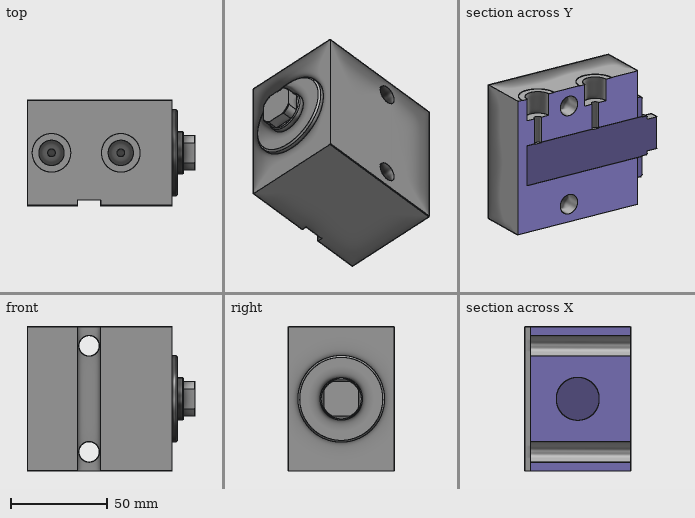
import cadquery as cq

total_length = 87.0

block_length = 75.0
block_depth = 55.0
block_height = block_length
edge_chamfer = 0.35

keyway_x = 32.0
keyway_width = 11.8
keyway_depth = 3.0
mount_hole_diameter = 10.5
mount_hole_spacing = 55.0

port_x_positions = (12.5, 48.5)
port_diameter = 13.1
port_depth = 12.2
spotface_diameter = 20.0
spotface_depth = 0.2
oil_hole_diameter = 4.0

gland_diameter = 45.0
gland_thickness = 3.0
gland_chamfer = 1.0

rod_diameter = 22.0
rod_chamfer = 0.6
rod_shoulder_reach = 6.1
tip_diameter = rod_diameter - 2 * rod_chamfer
tip_chamfer = 0.35
tip_across_flats = 18.0
rod_inner_x = port_x_positions[0] - port_diameter / 2
rod_shoulder_x = block_length + rod_shoulder_reach


def x_cylinder(diameter, start_x, end_x):
    """Solid cylinder on the rod axis, between two X positions."""
    return (
        cq.Workplane("XZ")
        .moveTo(start_x, 0)
        .lineTo(start_x, diameter / 2)
        .lineTo(end_x, diameter / 2)
        .lineTo(end_x, 0)
        .close()
        .revolve(360, (0, 0, 0), (1, 0, 0))
    )


def vertical_cylinder(x, diameter, bottom_z, top_z):
    """Upright cylinder on the plane Y = 0."""
    return cq.Workplane("XY", origin=(x, 0, bottom_z)).circle(diameter / 2).extrude(top_z - bottom_z)


def port_cutter(x):
    """Spotface, port bore and small oil hole down to the rod axis."""
    top_z = block_height / 2
    spotface = vertical_cylinder(x, spotface_diameter, top_z - spotface_depth, top_z)
    port = vertical_cylinder(x, port_diameter, top_z - port_depth, top_z)
    oil_hole = vertical_cylinder(x, oil_hole_diameter, 0, top_z)
    return spotface.union(port).union(oil_hole)


def make_block():
    block = (
        cq.Workplane("XY")
        .box(block_length, block_depth, block_height, centered=(False, True, True))
        .edges("|X")
        .chamfer(edge_chamfer)
    )

    keyway_floor_y = -block_depth / 2 + keyway_depth
    keyway = (
        cq.Workplane("XZ", origin=(keyway_x, keyway_floor_y, 0))
        .rect(keyway_width, block_height)
        .extrude(keyway_depth)
    )
    block = block.cut(keyway)

    mount_holes = (
        cq.Workplane("XZ", origin=(keyway_x, 0, 0))
        .pushPoints([(0, -mount_hole_spacing / 2), (0, mount_hole_spacing / 2)])
        .circle(mount_hole_diameter / 2)
        .extrude(block_depth / 2, both=True)
    )
    block = block.cut(mount_holes)

    for port_x in port_x_positions:
        block = block.cut(port_cutter(port_x))

    return block.cut(x_cylinder(rod_diameter, rod_inner_x, block_length))


def make_gland():
    gland_end_x = block_length + gland_thickness
    gland = x_cylinder(gland_diameter, block_length, gland_end_x).faces(">X").chamfer(gland_chamfer)
    return gland.cut(x_cylinder(rod_diameter, block_length, gland_end_x))


def make_rod():
    shank = x_cylinder(rod_diameter, rod_inner_x, rod_shoulder_x).faces(">X").chamfer(rod_chamfer)
    tip = x_cylinder(tip_diameter, rod_shoulder_x, total_length).faces(">X").chamfer(tip_chamfer)
    flats = (
        cq.Workplane("YZ", origin=(rod_shoulder_x, 0, 0))
        .rect(tip_across_flats, tip_across_flats)
        .extrude(total_length - rod_shoulder_x)
    )
    return shank.union(tip.intersect(flats))


block = make_block()
gland = make_gland()
rod = make_rod()

result = cq.Compound.makeCompound([block.val(), gland.val(), rod.val()])